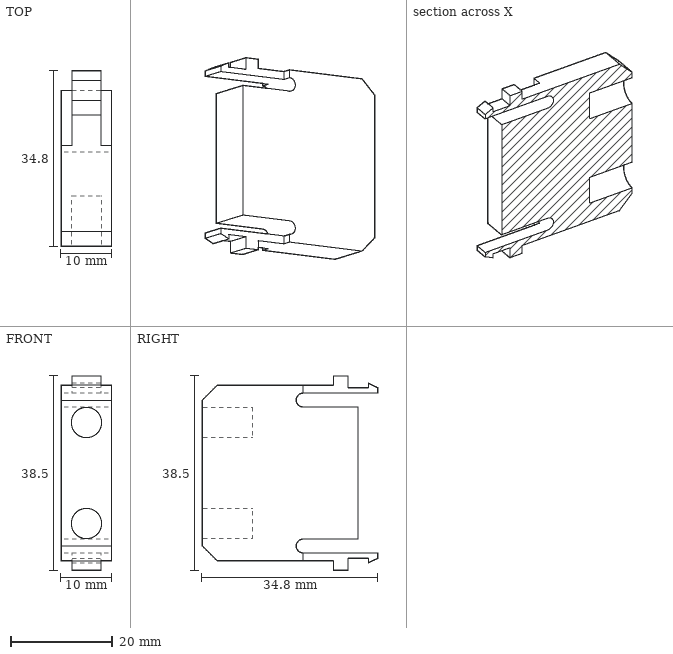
import cadquery as cq

body_width = 10.0
body_height = 34.8
body_depth = 30.9
front_chamfer = 3.0
body_top = body_height / 2

arm_width = 5.8
arm_root_y = 20.0
arm_tip_y = 34.8
arm_thickness = 1.6
thin_arm_thickness = 1.1
arm_inner_z = body_top - arm_thickness
thin_arm_z = arm_inner_z + thin_arm_thickness

tab_start_y = 26.0
tab_end_y = 28.9
overall_height = 38.5
tab_top = overall_height / 2

barb_length = 1.9
barb_height = 0.9
barb_start_y = arm_tip_y - barb_length

slot_width = 2.7
slot_radius = slot_width / 2
slot_floor_z = arm_inner_z - slot_width
slot_center_z = arm_inner_z - slot_radius

hole_diameter = 6.0
hole_spacing = 20.0
hole_depth = 10.0


def extrude_profile(profile, width):
    """Extrude a closed YZ profile to the given width, centred on x = 0."""
    return profile.extrude(width / 2, both=True)


def make_body():
    """Block with chamfered front edges along X."""
    block = cq.Workplane("XY").box(body_width, body_depth, body_height, centered=(True, False, True))
    return block.faces("<Y").edges("|X").chamfer(front_chamfer)


def make_arm_clearance():
    """Space above the slot floor, behind the arm root, ending in the round slot bottom."""
    profile = (
        cq.Workplane("YZ")
        .moveTo(arm_root_y, body_top)
        .lineTo(arm_root_y, arm_inner_z)
        .threePointArc((arm_root_y - slot_radius, slot_center_z), (arm_root_y, slot_floor_z))
        .lineTo(body_depth, slot_floor_z)
        .lineTo(body_depth, body_top)
        .close()
    )
    return extrude_profile(profile, body_width)


def make_arm():
    """Upper spring arm with its release tab and barbed tip."""
    profile = (
        cq.Workplane("YZ")
        .moveTo(arm_root_y, arm_inner_z)
        .lineTo(arm_tip_y, arm_inner_z)
        .lineTo(arm_tip_y, thin_arm_z)
        .lineTo(barb_start_y, thin_arm_z + barb_height)
        .lineTo(barb_start_y, thin_arm_z)
        .lineTo(tab_end_y, thin_arm_z)
        .lineTo(tab_end_y, tab_top)
        .lineTo(tab_start_y, tab_top)
        .lineTo(tab_start_y, body_top)
        .lineTo(arm_root_y, body_top)
        .close()
    )
    return extrude_profile(profile, arm_width)


def make_holes():
    """Two blind round holes running back from the front face."""
    return (
        cq.Workplane("XZ")
        .pushPoints([(0, hole_spacing / 2), (0, -hole_spacing / 2)])
        .circle(hole_diameter / 2)
        .extrude(-hole_depth)
    )


def with_mirror(upper):
    """The upper feature together with its mirror image below z = 0."""
    return upper, upper.mirror("XY")


result = make_body().cut(make_holes())
for clearance in with_mirror(make_arm_clearance()):
    result = result.cut(clearance)
for arm in with_mirror(make_arm()):
    result = result.union(arm)